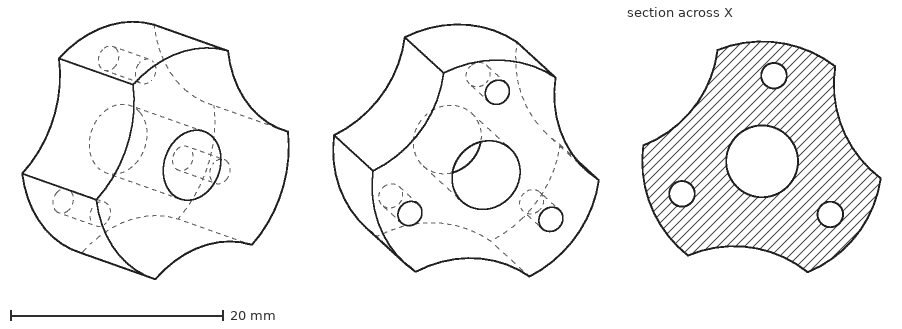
import cadquery as cq
import math

thickness = 11.83
outer_diameter = 22.6
bore_diameter = 6.75
lobe_count = 3
first_lobe_angle = 97.9

scallop_radius = 11.09
scallop_center_distance = 19.27

hole_diameter = 2.38
hole_circle_radius = 8.15
hole_depth = thickness / 2

lobe_spacing = 360.0 / lobe_count


def polar_point(radius, angle):
    """Return the (Y, Z) point at a radius and an angle in degrees."""
    radians = math.radians(angle)
    return (radius * math.cos(radians), radius * math.sin(radians))


def ring_of_points(radius, start_angle):
    """Return one (Y, Z) point per lobe, evenly spread around the axis."""
    return [polar_point(radius, start_angle + i * lobe_spacing) for i in range(lobe_count)]


def cylinders(points, diameter, length):
    """Make cylinders that start on the -X face and run along +X."""
    return cq.Workplane("YZ").pushPoints(points).circle(diameter / 2).extrude(length)


axis = [(0, 0)]
body = cylinders(axis, outer_diameter, thickness)
bore = cylinders(axis, bore_diameter, thickness)

scallop_centers = ring_of_points(scallop_center_distance, first_lobe_angle + lobe_spacing / 2)
scallops = cylinders(scallop_centers, 2 * scallop_radius, thickness)

hole_centers = ring_of_points(hole_circle_radius, first_lobe_angle)
holes = cylinders(hole_centers, hole_diameter, hole_depth)

result = body.cut(scallops).cut(bore).cut(holes)